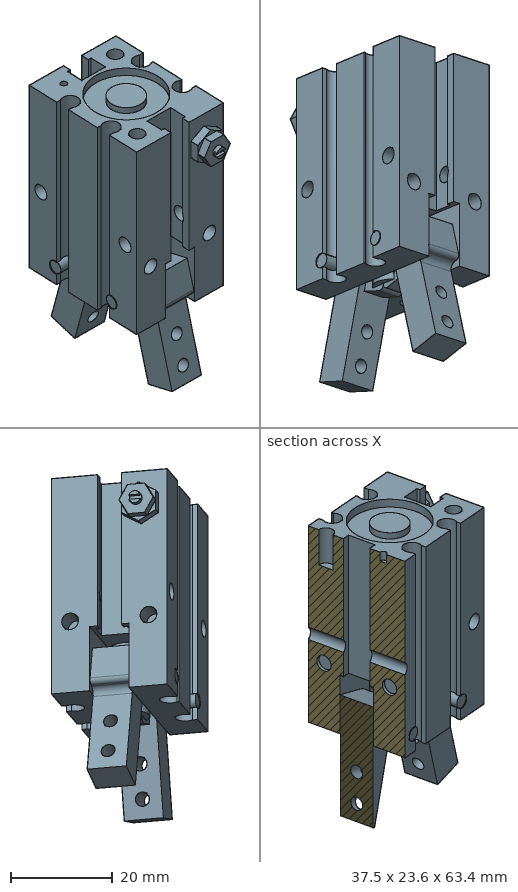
import cadquery as cq
import math


WIDTH = 30.6
DEPTH = 23.6
HEIGHT = 44.7
REAR_LAND_STEP = 0.6

GROOVE_X = 5.8
GROOVE_DIAMETER = 4.0
GROOVE_OPENING = 3.4
GROOVE_INSET = 2.1

T_SLOT_OPENING = 4.9
T_SLOT_LIP = 1.9
T_SLOT_WIDTH = 6.4
T_SLOT_DEPTH = 6.0

RECESS_DIAMETER = 17.1
RECESS_DEPTH = 1.8

FINGER_WIDTH = 8.0
FINGER_SLOT_HEIGHT = 13.3

MOUNT_DIAMETER = 3.4
TOP_MOUNT_DEPTH = 8.0
SIDE_MOUNT_DEPTH = 5.0
THROUGH_X = 12.0
THROUGH_Z = 20.25
SIDE_Y = 8.0
SIDE_Z = 14.75
TOP_X = 11.0
TOP_Y = 7.5
DOWEL_DIAMETER = 1.5
DOWEL_DEPTH = 2.0
DOWEL_Y = 6.5

FITTING_Y = 6.5
FITTING_Z = 37.75
FITTING_LENGTH = 4.95
HEX_SIZE = 7.0
INNER_HEX_LENGTH = 1.95
OUTER_HEX_LENGTH = 1.9
SCREW_DIAMETER = 2.5
SCREW_SLOT_WIDTH = 0.9
SCREW_SLOT_DEPTH = 0.75

PIVOT_X = 8.0
PIVOT_Z = 4.0
PIN_DIAMETER = 3.0
PIN_END_GAP = 0.2
PIN_LENGTH = DEPTH - 2 * PIN_END_GAP

OPEN_ANGLE = 15
ARM_HALF = 3.5
ARM_LENGTH = 22.6
HEAD_HALF_HEIGHT = 4.0
HEAD_REACH = 6.45
HEAD_CORNER_RADIUS = 1.0
ARM_FILLET = 1.5
LEVER_WIDTH = 5.0
LEVER_RADIUS = 1.0
LEVER_TIP_X = 8.05
ARM_HOLE_DIAMETER = 2.8
ARM_HOLE_END = 4.0
ARM_HOLE_PITCH = 7.0

ROD_DIAMETER = 8.0
ROD_RISE = 1.4
ROD_BOTTOM = -0.8
FORK_TOP = 8.0

RECESS_FLOOR = HEIGHT - RECESS_DEPTH


def box(x_min, x_max, y_min, y_max, z_min, z_max):
    size = (x_max - x_min, y_max - y_min, z_max - z_min)
    return cq.Workplane("XY").box(*size, centered=False).translate((x_min, y_min, z_min))


def cylinder(diameter, start, direction, length):
    return cq.Workplane(cq.Solid.makeCylinder(diameter / 2, length, cq.Vector(*start), cq.Vector(*direction)))


def sensor_groove(x, side):
    """Full-height keyhole groove in the front (side -1) or rear (side +1) face."""
    centre_y = side * (DEPTH / 2 - GROOVE_INSET)
    neck = (
        cq.Workplane("XY")
        .center(x, side * (DEPTH - GROOVE_INSET) / 2)
        .rect(GROOVE_OPENING, GROOVE_INSET)
        .extrude(HEIGHT)
    )
    return neck.union(cylinder(GROOVE_DIAMETER, (x, centre_y, 0), (0, 0, 1), HEIGHT))


def t_slot(side):
    """Side slot with a narrow mouth, running the full height of the block."""
    outer = side * WIDTH / 2
    mouth_x = outer - side * T_SLOT_LIP / 2
    mouth = cq.Workplane("XY").center(mouth_x, 0).rect(T_SLOT_LIP, T_SLOT_OPENING).extrude(HEIGHT)
    chamber_depth = T_SLOT_DEPTH - T_SLOT_LIP
    chamber_x = outer - side * (T_SLOT_LIP + chamber_depth / 2)
    chamber = cq.Workplane("XY").center(chamber_x, 0).rect(chamber_depth, T_SLOT_WIDTH).extrude(HEIGHT)
    return mouth.union(chamber)


def throttle_fitting():
    """Two stacked hexagons, turned 30 degrees to each other, and a slotted screw end."""
    corner_size = HEX_SIZE / math.cos(math.radians(30))
    side_face = cq.Workplane("YZ", origin=(WIDTH / 2, FITTING_Y, FITTING_Z))
    inner = side_face.transformed(rotate=(0, 0, 30)).polygon(6, corner_size).extrude(INNER_HEX_LENGTH)
    hex_length = INNER_HEX_LENGTH + OUTER_HEX_LENGTH
    outer = side_face.polygon(6, HEX_SIZE).extrude(hex_length)
    screw = side_face.circle(SCREW_DIAMETER / 2).extrude(FITTING_LENGTH)
    slot = (
        side_face.workplane(offset=FITTING_LENGTH - SCREW_SLOT_DEPTH)
        .rect(SCREW_DIAMETER, SCREW_SLOT_WIDTH)
        .extrude(SCREW_SLOT_DEPTH)
    )
    return inner.union(outer).union(screw.cut(slot))


def make_housing():
    body = cq.Workplane("XY").rect(WIDTH, DEPTH).extrude(HEIGHT)
    body = body.cut(box(-GROOVE_X, GROOVE_X, DEPTH / 2 - REAR_LAND_STEP, DEPTH / 2, 0, HEIGHT))

    for side in (-1, 1):
        body = body.cut(t_slot(side))
        for face in (-1, 1):
            body = body.cut(sensor_groove(side * GROOVE_X, face))
    half_slot = FINGER_WIDTH / 2
    body = body.cut(box(-WIDTH / 2, WIDTH / 2, -half_slot, half_slot, 0, FINGER_SLOT_HEIGHT))

    body = body.cut(cylinder(RECESS_DIAMETER, (0, 0, RECESS_FLOOR), (0, 0, 1), RECESS_DEPTH))
    body = body.cut(cylinder(ROD_DIAMETER, (0, 0, 0), (0, 0, 1), HEIGHT))

    for side in (-1, 1):
        for y in (-SIDE_Y, SIDE_Y):
            start = (side * WIDTH / 2, y, SIDE_Z)
            body = body.cut(cylinder(MOUNT_DIAMETER, start, (-side, 0, 0), SIDE_MOUNT_DEPTH))
        body = body.cut(cylinder(MOUNT_DIAMETER, (side * THROUGH_X, -DEPTH / 2, THROUGH_Z), (0, 1, 0), DEPTH))
        body = body.cut(cylinder(PIN_DIAMETER, (side * PIVOT_X, -DEPTH / 2, PIVOT_Z), (0, 1, 0), DEPTH))

    for x, y in ((-TOP_X, TOP_Y), (TOP_X, -TOP_Y)):
        body = body.cut(cylinder(MOUNT_DIAMETER, (x, y, HEIGHT), (0, 0, -1), TOP_MOUNT_DEPTH))
    body = body.cut(cylinder(DOWEL_DIAMETER, (-TOP_X, -DOWEL_Y, HEIGHT), (0, 0, -1), DOWEL_DEPTH))

    return body.union(throttle_fitting())


def make_finger(side):
    """Finger on the -X (side -1) or +X (side +1) pivot, swung open about its pin."""
    half = FINGER_WIDTH / 2
    diagonal = math.sqrt(0.5)
    corner_x = HEAD_REACH - HEAD_CORNER_RADIUS
    corner_z = HEAD_CORNER_RADIUS - HEAD_HALF_HEIGHT
    fillet_x = ARM_HALF + ARM_FILLET
    fillet_z = -HEAD_HALF_HEIGHT - ARM_FILLET
    profile = (
        cq.Workplane("XZ")
        .moveTo(-ARM_HALF, HEAD_HALF_HEIGHT)
        .lineTo(HEAD_REACH, HEAD_HALF_HEIGHT)
        .lineTo(HEAD_REACH, corner_z)
        .threePointArc(
            (corner_x + HEAD_CORNER_RADIUS * diagonal, corner_z - HEAD_CORNER_RADIUS * diagonal),
            (corner_x, -HEAD_HALF_HEIGHT),
        )
        .lineTo(fillet_x, -HEAD_HALF_HEIGHT)
        .threePointArc(
            (fillet_x - ARM_FILLET * diagonal, fillet_z + ARM_FILLET * diagonal),
            (ARM_HALF, fillet_z),
        )
        .lineTo(ARM_HALF, -ARM_LENGTH)
        .lineTo(-ARM_HALF, -ARM_LENGTH)
        .close()
    )
    finger = profile.extrude(half, both=True)

    lever_z = LEVER_RADIUS - HEAD_HALF_HEIGHT
    lever = box(
        -LEVER_TIP_X, 0, -LEVER_WIDTH / 2, LEVER_WIDTH / 2, -HEAD_HALF_HEIGHT, lever_z + LEVER_RADIUS
    )
    tip_start = (-LEVER_TIP_X, -LEVER_WIDTH / 2, lever_z)
    tip = cylinder(2 * LEVER_RADIUS, tip_start, (0, 1, 0), LEVER_WIDTH)
    finger = finger.union(lever).union(tip)

    finger = finger.cut(cylinder(PIN_DIAMETER, (0, -half, 0), (0, 1, 0), FINGER_WIDTH))
    for index in range(2):
        hole_z = ARM_HOLE_END + index * ARM_HOLE_PITCH - ARM_LENGTH
        finger = finger.cut(cylinder(ARM_HOLE_DIAMETER, (-ARM_HALF, 0, hole_z), (1, 0, 0), 2 * ARM_HALF))

    finger = finger.rotate((0, 0, 0), (0, 1, 0), -OPEN_ANGLE).translate((PIVOT_X, 0, PIVOT_Z))
    if side < 0:
        finger = finger.mirror("YZ")
    return finger


def make_pin(side):
    return cylinder(PIN_DIAMETER, (side * PIVOT_X, -PIN_LENGTH / 2, PIVOT_Z), (0, 1, 0), PIN_LENGTH)


def make_piston_rod():
    """Rod through the housing, its lower end forked around the finger levers."""
    rod = cylinder(ROD_DIAMETER, (0, 0, ROD_BOTTOM), (0, 0, 1), RECESS_FLOOR + ROD_RISE - ROD_BOTTOM)
    half_x = ROD_DIAMETER / 2
    half_y = LEVER_WIDTH / 2
    return rod.cut(box(-half_x, half_x, -half_y, half_y, ROD_BOTTOM, FORK_TOP))


housing = make_housing()
piston_rod = make_piston_rod()
fingers = [make_finger(side) for side in (-1, 1)]
pins = [make_pin(side) for side in (-1, 1)]

bodies = [housing, piston_rod, *fingers, *pins]
result = cq.Compound.makeCompound([body.solids().val() for body in bodies])